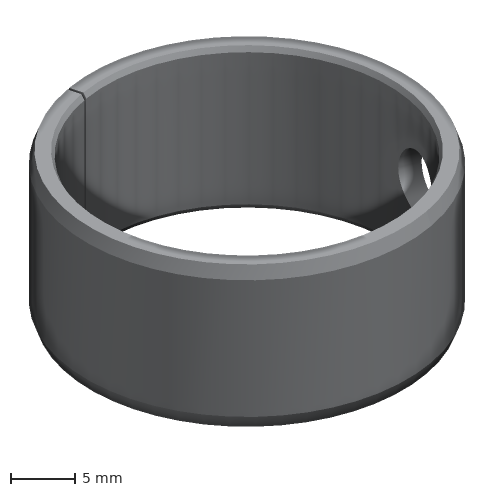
import cadquery as cq

outer_diameter = 34.0
bore_diameter = 30.0
width = 15.0

outer_bevel_height = 1.2
outer_bevel_depth = 0.45
bore_bevel_height = 0.48
bore_bevel_depth = 0.27

slit_width = 0.27

hole_diameter = 6.0
hole_angle = 59.0

outer_radius = outer_diameter / 2
bore_radius = bore_diameter / 2
half_width = width / 2


def make_ring():
    """Revolve the bevelled wall section about the Z axis."""
    section = [
        (bore_radius, -half_width + bore_bevel_height),
        (bore_radius + bore_bevel_depth, -half_width),
        (outer_radius - outer_bevel_depth, -half_width),
        (outer_radius, -half_width + outer_bevel_height),
        (outer_radius, half_width - outer_bevel_height),
        (outer_radius - outer_bevel_depth, half_width),
        (bore_radius + bore_bevel_depth, half_width),
        (bore_radius, half_width - bore_bevel_height),
    ]
    return cq.Workplane("XZ").polyline(section).close().revolve(360, (0, 0), (0, 1))


def make_slit():
    """Thin slab that opens the ring on its -X side."""
    slab = cq.Workplane("XY").box(outer_diameter, slit_width, 2 * width)
    return slab.translate((-outer_radius, slit_width / 2, 0))


def make_hole():
    """Cylinder running outwards from the ring axis."""
    drill = cq.Workplane("YZ").circle(hole_diameter / 2).extrude(outer_diameter)
    return drill.rotate((0, 0, 0), (0, 0, 1), hole_angle)


result = make_ring().cut(make_slit()).cut(make_hole())